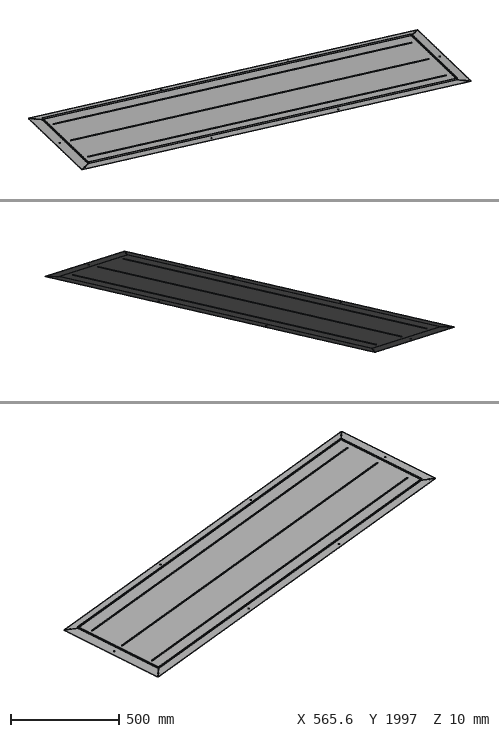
import cadquery as cq
import math

outer_width = 565.59
outer_length = 1996.99
height = 10.0
sheet = 1.5

side_rim = 39.5
end_rim = 51.0
rim_edge_radius = 0.5
mitre_gap = 1.0

wall_width = outer_width - 2 * side_rim
wall_length = outer_length - 2 * end_rim

bead_count = 3
bead_pitch = 180.0
bead_straight_length = 1835.0
bead_radius = 3.0
bead_half_angle = math.radians(60)
bead_half_width = bead_radius * math.sin(bead_half_angle)
bead_rise = bead_radius * (1 - math.cos(bead_half_angle))

hole_diameter = 6.0
hole_side_inset = 18.0
hole_end_inset = 24.0
holes_per_side = 4
side_hole_x = outer_width / 2 - hole_side_inset
end_hole_y = outer_length / 2 - hole_end_inset
hole_pitch = 2 * end_hole_y / (holes_per_side - 1)


def block(width, length, depth):
    """Block centred on the Z axis and standing on the base plane."""
    return cq.Workplane("XY").box(width, length, depth, centered=(True, True, False))


def tray():
    """Base sheet with rounded top edges and a closed rectangular upstand on it."""
    base = block(outer_width, outer_length, sheet).faces(">Z").edges().fillet(rim_edge_radius)
    upstand = block(wall_width, wall_length, height)
    inside = block(wall_width - 2 * sheet, wall_length - 2 * sheet, height)
    return base.union(upstand.cut(inside))


def bead(x, foot_z):
    """One ridge along Y at the given X, rising from the given level."""
    half_straight = bead_straight_length / 2
    ridge = (
        cq.Workplane("XZ", origin=(x, half_straight, foot_z))
        .moveTo(-bead_half_width, 0)
        .threePointArc((0, bead_rise), (bead_half_width, 0))
        .close()
        .extrude(bead_straight_length)
    )
    for end_y in (-half_straight, half_straight):
        dome = (
            cq.Workplane("XZ", origin=(x, end_y, foot_z))
            .lineTo(bead_half_width, 0)
            .radiusArc((0, bead_rise), -bead_radius)
            .close()
            .revolve(360, (0, 0, 0), (0, 1, 0))
        )
        ridge = ridge.union(dome)
    return ridge


def mitre_slit(side, end):
    """Narrow slit through the rim from an outer corner to the nearby corner of the upstand."""
    run = math.hypot(side_rim, end_rim)
    angle = math.degrees(math.atan2(end * end_rim, side * side_rim))
    centre_x = side * (outer_width - side_rim) / 2
    centre_y = end * (outer_length - end_rim) / 2
    slit = block(run, mitre_gap, sheet).rotate((0, 0, 0), (0, 0, 1), angle)
    return slit.translate((centre_x, centre_y, 0))


def fixing_holes():
    """A row of holes along each side, corners included, and one in the middle of each end."""
    points = [(0, -end_hole_y), (0, end_hole_y)]
    for x in (-side_hole_x, side_hole_x):
        for i in range(holes_per_side):
            points.append((x, -end_hole_y + i * hole_pitch))
    return cq.Workplane("XY").pushPoints(points).circle(hole_diameter / 2).extrude(sheet)


result = tray()

for i in range(bead_count):
    bead_x = (i - (bead_count - 1) / 2) * bead_pitch
    result = result.union(bead(bead_x, sheet)).cut(bead(bead_x, 0))

for side in (-1, 1):
    for end in (-1, 1):
        result = result.cut(mitre_slit(side, end))

result = result.cut(fixing_holes())